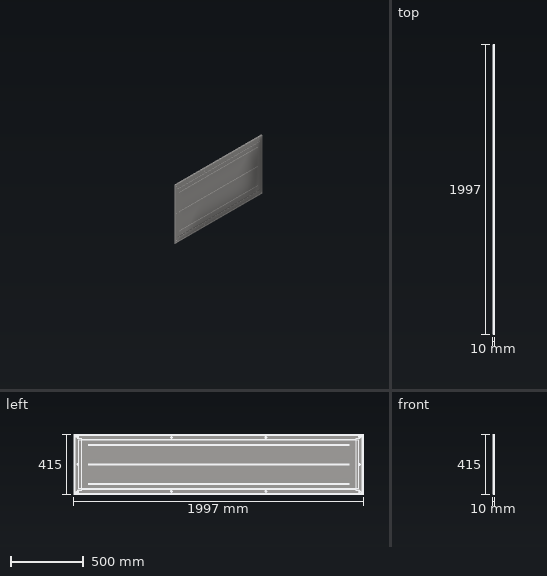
import cadquery as cq
import math

LENGTH = 1997.0
HEIGHT = 415.0
THICKNESS = 10.0

BACK = -THICKNESS / 2
FRONT = THICKNESS / 2

SHEET = 1.0
BEAD_WIDTH = 6.2
BEAD_RADIUS = BEAD_WIDTH / 2
BEAD_INSET = 5.0
BEAD_OUTER = BEAD_INSET - BEAD_RADIUS
BEAD_INNER = BEAD_INSET + BEAD_RADIUS
STEP_X = 0.0
FLANGE_X = BACK + BEAD_RADIUS
FLANGE_UNDERSIDE_X = FLANGE_X + SHEET
SKIN_INSIDE_X = FRONT - SHEET

END_FLANGE = 52.0
SIDE_FLANGE = 35.0
MITRE_DEPTH = 30.0
SEAM_WIDTH = 0.8

HOLE_DIAMETER = 8.8
END_HOLE_Y = 970.0
CORNER_HOLE_Z = 190.0
SIDE_HOLE_Y = 325.0
SIDE_HOLE_Z = 185.0

PANEL_LENGTH = 1930.0
PANEL_HEIGHT = 333.0
RIB_RADIUS = 3.8
RIB_LENGTH = 1797.0
OUTER_RIB_SPAN = 270.0
RIB_SPACING = OUTER_RIB_SPAN / 2


def edge_strip(length, edge_distance, flange_width, flange_end_inset):
    """One tray edge along Y at +Z: step, round bead and return flange, mitred at both ends."""
    profile = (
        cq.Workplane("XZ")
        .moveTo(FRONT, edge_distance)
        .lineTo(STEP_X, edge_distance)
        .lineTo(STEP_X, edge_distance - BEAD_OUTER)
        .lineTo(FLANGE_X, edge_distance - BEAD_OUTER)
        .threePointArc((BACK, edge_distance - BEAD_INSET), (FLANGE_X, edge_distance - BEAD_INNER))
        .lineTo(FLANGE_X, edge_distance - flange_width)
        .lineTo(FLANGE_UNDERSIDE_X, edge_distance - flange_width)
        .lineTo(FLANGE_UNDERSIDE_X, edge_distance - BEAD_INNER)
        .lineTo(FRONT, edge_distance - BEAD_INNER)
        .close()
        .extrude(length / 2, both=True)
    )
    half = length / 2
    mitre_end = half - MITRE_DEPTH
    mitre_edge = edge_distance - MITRE_DEPTH
    flange_end = half - flange_end_inset
    flange_edge = edge_distance - flange_width
    mitred_part = (
        cq.Workplane("YZ", origin=(BACK, 0, 0))
        .polyline(
            [(-half, edge_distance), (half, edge_distance), (mitre_end, mitre_edge), (-mitre_end, mitre_edge)]
        )
        .close()
        .extrude(THICKNESS)
    )
    square_part = (
        cq.Workplane("XY")
        .box(THICKNESS, 2 * flange_end, mitre_edge - flange_edge)
        .translate((0, 0, (mitre_edge + flange_edge) / 2))
    )
    return profile.intersect(mitred_part.union(square_part))


def corner_seam(y_sign, z_sign):
    """Slit between two flanges: a 45 degree mitre, then along the square end of the end flange."""
    mitre_length = (MITRE_DEPTH - BEAD_INNER) * math.sqrt(2)
    mitre_middle = (MITRE_DEPTH + BEAD_INNER) / 2
    square_length = END_FLANGE - MITRE_DEPTH
    mitre = (
        cq.Workplane("XY")
        .box(SHEET, mitre_length, SEAM_WIDTH)
        .rotate((0, 0, 0), (1, 0, 0), y_sign * z_sign * 45)
        .translate((0, y_sign * (LENGTH / 2 - mitre_middle), z_sign * (HEIGHT / 2 - mitre_middle)))
    )
    square_end = (
        cq.Workplane("XY")
        .box(SHEET, square_length, SEAM_WIDTH)
        .translate(
            (
                0,
                y_sign * (LENGTH / 2 - MITRE_DEPTH - square_length / 2),
                z_sign * (HEIGHT / 2 - MITRE_DEPTH),
            )
        )
    )
    return mitre.union(square_end).translate((FLANGE_X + SHEET / 2, 0, 0))


def fixing_holes():
    """Through holes: one at each corner, one in the middle of each end, two along each side."""
    points = []
    for y_sign in (-1, 1):
        points.append((y_sign * END_HOLE_Y, 0))
        for z_sign in (-1, 1):
            points.append((y_sign * END_HOLE_Y, z_sign * CORNER_HOLE_Z))
            points.append((y_sign * SIDE_HOLE_Y, z_sign * SIDE_HOLE_Z))
    return (
        cq.Workplane("YZ", origin=(BACK, 0, 0))
        .pushPoints(points)
        .circle(HOLE_DIAMETER / 2)
        .extrude(THICKNESS)
    )


def make_tray():
    """Flat skin with four rolled edges folded back into mitred flanges."""
    tray = cq.Workplane("XY").box(SHEET, LENGTH, HEIGHT).translate((FRONT - SHEET / 2, 0, 0))
    side = edge_strip(LENGTH, HEIGHT / 2, SIDE_FLANGE, END_FLANGE)
    end = edge_strip(HEIGHT, LENGTH / 2, END_FLANGE, MITRE_DEPTH)
    end = end.rotate((0, 0, 0), (1, 0, 0), 90)
    for strip in (side, end):
        tray = tray.union(strip)
        tray = tray.union(strip.rotate((0, 0, 0), (1, 0, 0), 180))
    for y_sign in (-1, 1):
        for z_sign in (-1, 1):
            tray = tray.cut(corner_seam(y_sign, z_sign))
    return tray.cut(fixing_holes())


def make_panel():
    """Insert held between the skin and the end flanges, stiffened by three half-round ribs."""
    depth = SKIN_INSIDE_X - FLANGE_UNDERSIDE_X
    panel = (
        cq.Workplane("XY")
        .box(depth, PANEL_LENGTH, PANEL_HEIGHT)
        .translate((FLANGE_UNDERSIDE_X + depth / 2, 0, 0))
    )
    for row in (-1, 0, 1):
        z = row * RIB_SPACING
        rib = (
            cq.Workplane("XZ")
            .moveTo(FLANGE_UNDERSIDE_X, z - RIB_RADIUS)
            .threePointArc(
                (FLANGE_UNDERSIDE_X - RIB_RADIUS, z),
                (FLANGE_UNDERSIDE_X, z + RIB_RADIUS),
            )
            .close()
            .extrude(RIB_LENGTH / 2, both=True)
        )
        panel = panel.union(rib)
    return panel


tray = make_tray()
panel = make_panel()

result = cq.Compound.makeCompound([tray.solids().val(), panel.solids().val()])